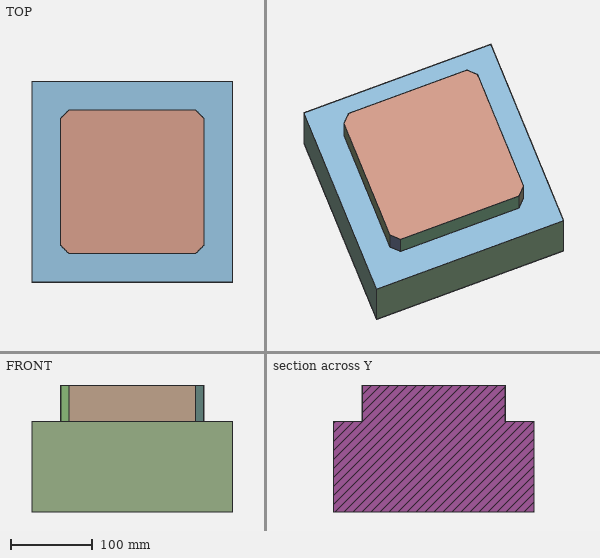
import cadquery as cq

base_side = 245.0
total_height = 154.5

raised_side = 175.0
raised_height = 43.9
corner_chamfer = 10.0

base_height = total_height - raised_height

base = cq.Workplane("XY").rect(base_side, base_side).extrude(base_height)

raised_block = (
    cq.Workplane("XY")
    .workplane(offset=base_height)
    .rect(raised_side, raised_side)
    .extrude(raised_height)
    .edges("|Z")
    .chamfer(corner_chamfer)
)

result = base.union(raised_block)